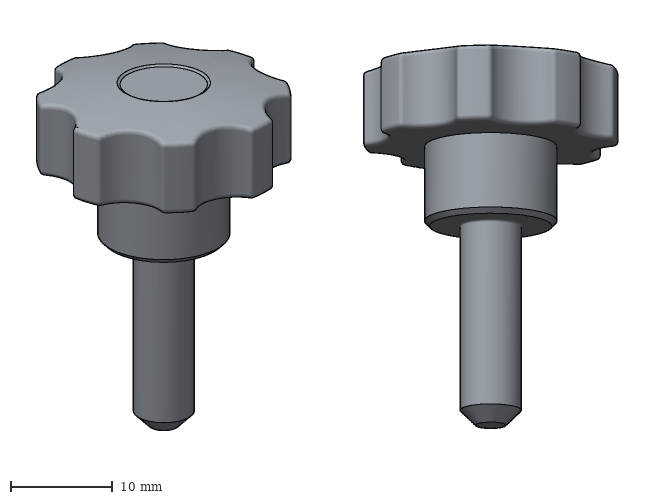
import cadquery as cq
import math

total_height = 36.65
head_bottom = 28.0
boss_bottom = 20.0

head_radius = 12.5
dome_radius = 60.12
scallop_count = 8
scallop_radius = 4.0
scallop_depth = 1.98
lobe_corner_radius = 0.5
rim_fillet = 0.48

recess_diameter = 9.15
recess_floor_diameter = 8.58
recess_depth = 0.2

boss_diameter = 13.0
boss_chamfer = 0.5
shaft_diameter = 6.0
shaft_tip_chamfer = 1.5
shaft_root_fillet = 0.2


def dome_height(radius):
    """Height of the dome at a distance from the axis; the recess rim is at full height."""
    sphere_center = total_height - math.sqrt(dome_radius**2 - (recess_diameter / 2) ** 2)
    return sphere_center + math.sqrt(dome_radius**2 - radius**2)


def make_domed_disc():
    middle_radius = head_radius / 2
    profile = (
        cq.Workplane("XZ")
        .moveTo(0, head_bottom)
        .lineTo(head_radius, head_bottom)
        .lineTo(head_radius, dome_height(head_radius))
        .threePointArc((middle_radius, dome_height(middle_radius)), (0, dome_height(0)))
        .close()
    )
    return profile.revolve(360, (0, 0, 0), (0, 1, 0))


def make_scallop_cutters():
    center_distance = head_radius - scallop_depth + scallop_radius
    return (
        cq.Workplane("XY", origin=(0, 0, head_bottom))
        .polarArray(center_distance, 0, 360, scallop_count)
        .circle(scallop_radius)
        .extrude(total_height - head_bottom)
    )


def make_recess_cutter():
    """Cone frustum for the recess, extended as a cylinder through the top of the dome."""
    rim_radius = recess_diameter / 2
    floor_height = total_height - recess_depth
    profile = cq.Workplane("XZ").polyline(
        [
            (0, floor_height),
            (recess_floor_diameter / 2, floor_height),
            (rim_radius, total_height),
            (rim_radius, dome_height(0)),
            (0, dome_height(0)),
        ]
    )
    return profile.close().revolve(360, (0, 0, 0), (0, 1, 0))


def make_head():
    head = make_domed_disc().cut(make_scallop_cutters())
    head = head.edges("|Z").fillet(lobe_corner_radius)
    head = head.faces("<Z or >Z").edges().fillet(rim_fillet)
    return head.cut(make_recess_cutter())


def make_boss():
    return (
        cq.Workplane("XY", origin=(0, 0, boss_bottom))
        .circle(boss_diameter / 2)
        .extrude(head_bottom - boss_bottom)
        .faces("<Z")
        .chamfer(boss_chamfer)
    )


def make_shaft():
    return (
        cq.Workplane("XY")
        .circle(shaft_diameter / 2)
        .extrude(boss_bottom)
        .faces("<Z")
        .chamfer(shaft_tip_chamfer)
    )


def add_root_fillet(body):
    """Round the inner corner where the shaft meets the underside of the boss."""
    root_corner = cq.selectors.RadiusNthSelector(0)
    boss_underside = cq.selectors.NearestToPointSelector((0, 0, boss_bottom))
    return body.faces(boss_underside).edges(root_corner).fillet(shaft_root_fillet)


result = add_root_fillet(make_head().union(make_boss()).union(make_shaft()))